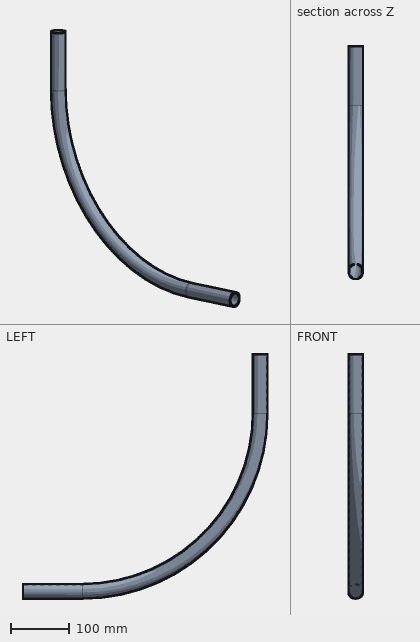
import cadquery as cq

overall_length = 419.0
outer_diameter = 25.5
inner_diameter = 22.2
bend_radius = 304.5

outer_radius = outer_diameter / 2
leg_length = overall_length - bend_radius - outer_radius


def tube_section(plane):
    """Ring-shaped tube section centred on the given plane."""
    return cq.Workplane(plane).circle(outer_radius).circle(inner_diameter / 2)


upright_leg = tube_section("XY").extrude(leg_length)

bend = tube_section("XY").revolve(90, (0, bend_radius, 0), (1, bend_radius, 0))

level_leg_start = cq.Plane(
    origin=(0, bend_radius, -bend_radius), xDir=(1, 0, 0), normal=(0, 1, 0)
)
level_leg = tube_section(level_leg_start).extrude(leg_length)

result = upright_leg.union(bend).union(level_leg)